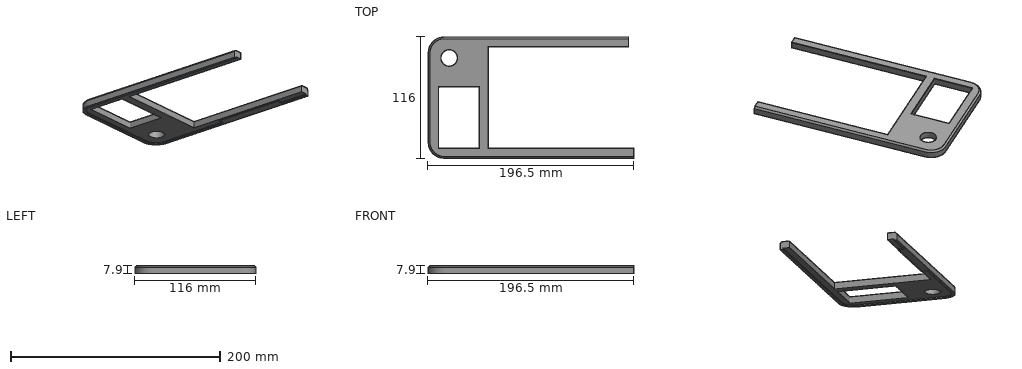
import cadquery as cq

length = 196.5
width = 116.0
thickness = 7.9

corner_radius = 15.1
outer_bevel = 1.8
opening_bevel = 0.4
arm_width = 9.6
short_arm_setback = 5.0

bay_start = 57.8
window_inset = 10.0
window_length = 38.7
window_width = 58.4
window_corner_radius = 0.5
finger_hole_diameter = 15.5
finger_hole_inset = 20.0

recess_depth = 1.2
rim_width = 3.0
pad_start = 88.5
pad_end = 161.1
pad_setback = 0.5

left = -length / 2
right = length / 2
front = -width / 2
back = width / 2


def block(x_limits, y_limits, height):
    """Block standing on the underside plane between the given limits."""
    size_x = x_limits[1] - x_limits[0]
    size_y = y_limits[1] - y_limits[0]
    corner = (x_limits[0], y_limits[0], 0)
    return cq.Workplane("XY").box(size_x, size_y, height, centered=False).translate(corner)


def top_flare(x_limits, y_limits):
    """Tapered cutter that bevels the top rim of a rectangular opening."""
    size_x = x_limits[1] - x_limits[0] + 2 * opening_bevel
    size_y = y_limits[1] - y_limits[0] + 2 * opening_bevel
    middle = (sum(x_limits) / 2, sum(y_limits) / 2, thickness)
    return (
        cq.Workplane("XY", origin=middle)
        .rect(size_x, size_y)
        .extrude(-opening_bevel, taper=45)
    )


plate = block((left, right), (front, back), thickness)
plate = plate.edges("|Z and <X").fillet(corner_radius)
body = plate.faces(">Z").edges("not >X").chamfer(outer_bevel)

recess = block((left + rim_width, right), (front + rim_width, back - rim_width), recess_depth)
recess = recess.edges("|Z and <X").fillet(corner_radius - rim_width)
pad = block(
    (left + pad_start, left + pad_end),
    (back - arm_width + pad_setback, back),
    recess_depth,
)
body = body.cut(recess.cut(pad))

bay_x = (left + bay_start, right + 2 * opening_bevel)
bay_y = (front + arm_width, back - arm_width)
body = body.cut(block(bay_x, bay_y, thickness)).cut(top_flare(bay_x, bay_y))

body = body.cut(block((right - short_arm_setback, right), (0, back), thickness))

window_x = (left + window_inset, left + window_inset + window_length)
window_y = (front + arm_width, front + arm_width + window_width)
window = block(window_x, window_y, thickness).edges("|Z").fillet(window_corner_radius)
body = body.cut(window).cut(top_flare(window_x, window_y))

finger_hole = (
    cq.Workplane("XY")
    .center(left + finger_hole_inset, back - finger_hole_inset)
    .circle(finger_hole_diameter / 2)
    .extrude(thickness)
)
body = body.cut(finger_hole)

result = body